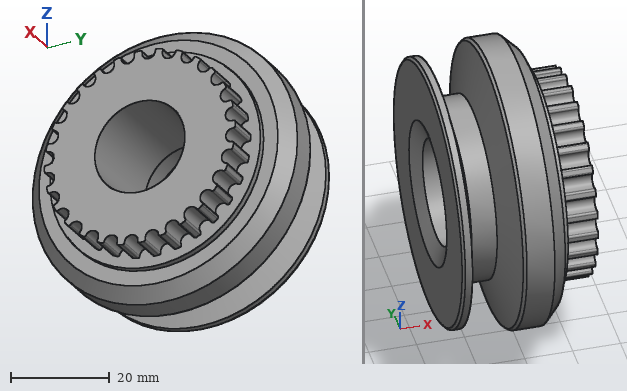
import cadquery as cq
import math


small_flange_radius = 28.0
small_flange_chamfer = 0.55
small_flange_rim_end = 2.05
groove_floor_radius = 19.15
groove_floor_start = 4.2
groove_floor_end = 9.5
large_flange_radius = 30.0
large_flange_face_radius = 29.5
large_flange_start = 12.25
large_flange_rim_start = 12.9
large_flange_rim_end = 18.7
large_flange_end = 21.65
large_flange_bevel = large_flange_end - large_flange_rim_end

shoulder_radius = 23.8
shoulder_end = 23.1

total_length = 30.0
tooth_count = 28
tooth_tip_radius = 21.6
tooth_depth = 2.05
tooth_gap_radius = 1.5
tooth_tip_fillet = 0.4
tooth_turn = 1.0

bore_radius = 10.2
counterbore_radius = 11.1
countersink_radius = 15.1
countersink_depth = 1.8
counterbore_end = 7.55


def on_circle(radius, angle, centre=(0, 0)):
    """Point at an angle (radians) on a circle."""
    return (centre[0] + radius * math.cos(angle), centre[1] + radius * math.sin(angle))


def between(start, end, length):
    """Point at a given distance from start along the line toward end."""
    share = length / math.dist(start, end)
    return (start[0] + share * (end[0] - start[0]), start[1] + share * (end[1] - start[1]))


def make_flanges():
    """Both flanges, the V groove and the shoulder as one turned solid."""
    outline = [
        (0, 0),
        (0, small_flange_radius - small_flange_chamfer),
        (small_flange_chamfer, small_flange_radius),
        (small_flange_rim_end, small_flange_radius),
        (groove_floor_start, groove_floor_radius),
        (groove_floor_end, groove_floor_radius),
        (large_flange_start, large_flange_face_radius),
        (large_flange_rim_start, large_flange_radius),
        (large_flange_rim_end, large_flange_radius),
        (large_flange_end, large_flange_radius - large_flange_bevel),
        (large_flange_end, shoulder_radius),
        (shoulder_end, shoulder_radius),
        (shoulder_end, 0),
    ]
    return cq.Workplane("XY").polyline(outline).close().revolve(360, (0, 0), (1, 0))


def make_toothed_ring():
    """Ring of teeth with round gaps whose edges blend into the tips by fillets."""
    pitch = 2 * math.pi / tooth_count
    gap_centre_radius = tooth_tip_radius - tooth_depth + tooth_gap_radius
    fillet_centre_radius = tooth_tip_radius - tooth_tip_fillet
    centre_gap = tooth_gap_radius + tooth_tip_fillet
    fillet_angle = math.acos(
        (gap_centre_radius**2 + fillet_centre_radius**2 - centre_gap**2)
        / (2 * gap_centre_radius * fillet_centre_radius)
    )
    first_tooth = math.radians(90 + tooth_turn)

    ring = cq.Workplane("YZ", origin=(shoulder_end, 0, 0))
    ring = ring.moveTo(*on_circle(tooth_tip_radius, first_tooth - pitch / 2 + fillet_angle))
    for index in range(tooth_count):
        tooth_angle = first_tooth + index * pitch
        gap_angle = tooth_angle + pitch / 2
        gap_centre = on_circle(gap_centre_radius, gap_angle)
        fillet_ends = []
        for side in (-1, 1):
            angle = gap_angle + side * fillet_angle
            centre = on_circle(fillet_centre_radius, angle)
            tip_end = on_circle(tooth_tip_radius, angle)
            gap_end = between(centre, gap_centre, tooth_tip_fillet)
            chord_middle = ((tip_end[0] + gap_end[0]) / 2, (tip_end[1] + gap_end[1]) / 2)
            middle = between(centre, chord_middle, tooth_tip_fillet)
            fillet_ends.append((tip_end, middle, gap_end))
        near, far = fillet_ends
        ring = ring.threePointArc(on_circle(tooth_tip_radius, tooth_angle), near[0])
        ring = ring.threePointArc(near[1], near[2])
        ring = ring.threePointArc(on_circle(tooth_tip_radius - tooth_depth, gap_angle), far[2])
        ring = ring.threePointArc(far[1], far[0])
    return ring.close().extrude(total_length - shoulder_end)


def make_bore():
    """Through bore with a countersunk counterbore at the left face."""
    outline = [
        (0, 0),
        (0, countersink_radius),
        (countersink_depth, counterbore_radius),
        (counterbore_end, counterbore_radius),
        (counterbore_end, bore_radius),
        (total_length, bore_radius),
        (total_length, 0),
    ]
    return cq.Workplane("XY").polyline(outline).close().revolve(360, (0, 0), (1, 0))


result = make_flanges().union(make_toothed_ring()).cut(make_bore())